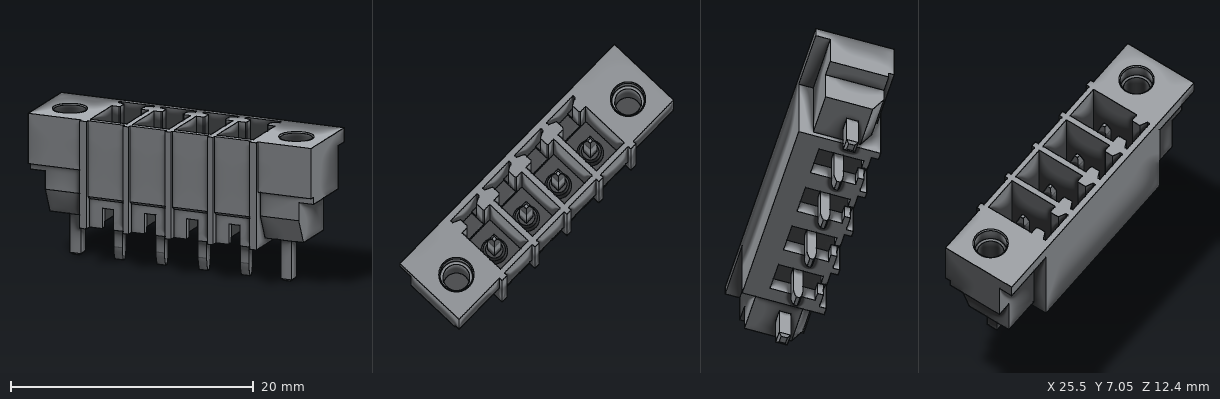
import cadquery as cq


poles = 4
pitch = 3.8
total_length = 25.53
top_z = 9.22
back_y = 4.0
front_y = -2.75
lead_bottom_z = -3.2
pole_xs = [(pole - (poles - 1) / 2) * pitch for pole in range(poles)]
sides = (-1, 1)

block_length = 15.93
rib_width = 0.5
rib_depth = 0.3
rib_front_y = front_y - rib_depth
panel_width = pitch - rib_width
panel_step_top_z = 2.7
panel_step_height = 0.25
panel_step_depth = 0.3
skirt_front_y = front_y + panel_step_depth

flange_lip = 1.23
flange_back_setback = 1.25
flange_front_setback = 0.49
flange_back_y = back_y - flange_back_setback
flange_front_y = front_y + flange_front_setback
overhang_bottom_z = 4.3
front_step_z = 4.9
foot_end_setback = 1.33
foot_length = total_length - 2 * foot_end_setback
foot_bottom_z = 0.59
foot_chamfer_top_z = 2.73
foot_chamfer_depth = 0.97

chamber_back_y = 2.1
chamber_front_y = -2.3
chamber_floor_z = 2.7
keyway_neck_width = 1.86
keyway_head_width = 3.15
keyway_back_y = 3.47
keyway_neck_floor_z = 3.32
keyway_wing_floor_z = 3.83
keyway_head_front_y = 3.25
keyway_shoulder_y = 2.94
keyway_chamfer = 0.1

collar_base_radius = 1.1
collar_mid_radius = 0.92
collar_top_radius = 0.71
collar_mid_height = 0.5
collar_height = 0.66

cavity_width = 2.35
cavity_depth = 1.75
skirt_thickness = 0.5
cavity_front_y = skirt_front_y + skirt_thickness
slot_width = 1.0

pin_width = 0.8
pin_top_z = 7.91
pin_point_width = 0.3
pin_point_height = 0.8
pin_nose_length = 1.12
pin_nose_width = 0.3

screw_hole_x = 10.2
screw_hole_radius = 1.35
screw_hole_chamfer = 0.1
screw_hole_lower_radius = 1.1
screw_hole_step_z = top_z - flange_lip
screw_hole_floor_z = overhang_bottom_z

peg_x = (poles + 1) / 2 * pitch
peg_top_z = foot_chamfer_top_z
peg_width = 1.0
peg_chamfer_width = 0.23
peg_chamfer_height = 0.2


def box(x_size, y_range, z_range, x_center=0.0):
    """Box centred on x_center in X, between the given limits in Y and Z."""
    y_low, y_high = y_range
    z_low, z_high = z_range
    solid = cq.Workplane("XY").box(x_size, y_high - y_low, z_high - z_low, centered=(True, False, False))
    return solid.translate((x_center, y_low, z_low))


def x_prism(points, length, x_center=0.0):
    """Prism along X, centred on x_center, from a (Y, Z) outline."""
    prism = cq.Workplane("YZ").polyline(points).close().extrude(length / 2, both=True)
    return prism.translate((x_center, 0, 0))


def z_prism(points, z_low, z_high):
    """Prism along Z from an (X, Y) outline."""
    return cq.Workplane("XY").workplane(offset=z_low).polyline(points).close().extrude(z_high - z_low)


def make_flanges():
    """Full-length lip, flange bodies and narrower feet, all passing through the middle block."""
    overhang_outline = [
        (back_y, top_z),
        (back_y, top_z - flange_lip),
        (flange_back_y, top_z - flange_lip),
        (flange_back_y, overhang_bottom_z),
        (flange_front_y, overhang_bottom_z),
        (flange_front_y, front_step_z),
        (front_y, front_step_z),
        (front_y, top_z),
    ]
    foot_outline = [
        (flange_back_y, overhang_bottom_z),
        (flange_back_y, foot_bottom_z),
        (flange_front_y + foot_chamfer_depth, foot_bottom_z),
        (flange_front_y, foot_chamfer_top_z),
        (flange_front_y, overhang_bottom_z),
    ]
    return x_prism(overhang_outline, total_length).union(x_prism(foot_outline, foot_length))


def make_panel_recess(x):
    """Space between two ribs, deeper below the sloping step in the front wall."""
    outline = [
        (rib_front_y, top_z),
        (front_y, top_z),
        (front_y, panel_step_top_z),
        (skirt_front_y, panel_step_top_z - panel_step_height),
        (skirt_front_y, 0),
        (rib_front_y, 0),
    ]
    return x_prism(outline, panel_width, x)


def make_keyway(x):
    """T-shaped guide slot behind a chamber: a neck shallower than the chamber and still shallower wings."""
    neck = keyway_neck_width / 2
    head = keyway_head_width / 2
    neck_outline = [
        (-neck - keyway_chamfer, chamber_back_y),
        (-neck, chamber_back_y + keyway_chamfer),
        (-neck, keyway_back_y),
        (neck, keyway_back_y),
        (neck, chamber_back_y + keyway_chamfer),
        (neck + keyway_chamfer, chamber_back_y),
    ]
    wings_outline = [
        (-neck, keyway_shoulder_y),
        (-head, keyway_head_front_y),
        (-head, keyway_back_y),
        (head, keyway_back_y),
        (head, keyway_head_front_y),
        (neck, keyway_shoulder_y),
    ]
    neck_cut = z_prism(neck_outline, keyway_neck_floor_z, top_z)
    wings_cut = z_prism(wings_outline, keyway_wing_floor_z, top_z)
    return neck_cut.union(wings_cut).translate((x, 0, 0))


def make_collar(x):
    """Double cone standing on the chamber floor around the pin."""
    profile = [
        (0, 0),
        (collar_base_radius, 0),
        (collar_mid_radius, collar_mid_height),
        (collar_top_radius, collar_height),
        (0, collar_height),
    ]
    collar = cq.Workplane("XZ").polyline(profile).close().revolve(360, (0, 0, 0), (0, 1, 0))
    return collar.translate((x, 0, chamber_floor_z))


def make_pin(x):
    """Square pin with a pyramid point on top and a nose rounded front and back below."""
    half = pin_width / 2
    half_nose = pin_nose_width / 2
    nose_top_z = lead_bottom_z + pin_nose_length
    shank_top_z = pin_top_z - pin_point_height
    nose_step = half - half_nose
    nose_radius = (pin_nose_length**2 + nose_step**2) / (2 * nose_step)
    mid_drop = pin_nose_length / 2
    mid_step = nose_radius - (nose_radius**2 - mid_drop**2) ** 0.5
    mid_y = half - mid_step
    mid_z = nose_top_z - mid_drop
    shank = (
        cq.Workplane("YZ")
        .moveTo(-half, shank_top_z)
        .lineTo(-half, nose_top_z)
        .threePointArc((-mid_y, mid_z), (-half_nose, lead_bottom_z))
        .lineTo(half_nose, lead_bottom_z)
        .threePointArc((mid_y, mid_z), (half, nose_top_z))
        .lineTo(half, shank_top_z)
        .close()
        .extrude(half, both=True)
    )
    point = (
        cq.Workplane("XY")
        .workplane(offset=shank_top_z)
        .rect(pin_width, pin_width)
        .workplane(offset=pin_point_height)
        .rect(pin_point_width, pin_point_width)
        .loft()
    )
    return shank.union(point).translate((x, 0, 0))


def make_flange_peg(x):
    """Square solder peg seated in the flange foot, with a tapered tip."""
    peg_range = (-peg_width / 2, peg_width / 2)
    peg_shank_z = lead_bottom_z + peg_chamfer_height
    tip_width = peg_width - 2 * peg_chamfer_width
    peg = box(peg_width, peg_range, (peg_shank_z, peg_top_z))
    tip = (
        cq.Workplane("XY")
        .workplane(offset=lead_bottom_z)
        .rect(tip_width, tip_width)
        .workplane(offset=peg_chamfer_height)
        .rect(peg_width, peg_width)
        .loft()
    )
    return peg.union(tip).translate((x, 0, 0))


def make_screw_hole(x):
    """Stepped blind hole in the flange top, with a chamfered mouth."""
    profile = [
        (0, top_z),
        (screw_hole_radius + screw_hole_chamfer, top_z),
        (screw_hole_radius, top_z - screw_hole_chamfer),
        (screw_hole_radius, screw_hole_step_z),
        (screw_hole_lower_radius, screw_hole_step_z),
        (screw_hole_lower_radius, screw_hole_floor_z),
        (0, screw_hole_floor_z),
    ]
    hole = cq.Workplane("XZ").polyline(profile).close().revolve(360, (0, 0, 0), (0, 1, 0))
    return hole.translate((x, 0, 0))


def make_housing():
    housing = box(block_length, (rib_front_y, back_y), (0, top_z)).union(make_flanges())
    chamber_y = (chamber_front_y, chamber_back_y)
    cavity_y = (cavity_front_y, -cavity_front_y)
    slot_y = (skirt_front_y, cavity_front_y)
    pin_y = (-pin_width / 2, pin_width / 2)
    peg_y = (-peg_width / 2, peg_width / 2)
    for x in pole_xs:
        housing = housing.cut(make_panel_recess(x))
        housing = housing.cut(box(panel_width, chamber_y, (chamber_floor_z, top_z), x))
        housing = housing.cut(make_keyway(x))
        housing = housing.union(make_collar(x))
        housing = housing.cut(box(cavity_width, cavity_y, (0, cavity_depth), x))
        housing = housing.cut(box(slot_width, slot_y, (0, cavity_depth), x))
        housing = housing.cut(box(pin_width, pin_y, (0, top_z), x))
    for side in sides:
        housing = housing.cut(make_screw_hole(side * screw_hole_x))
        housing = housing.cut(box(peg_width, peg_y, (foot_bottom_z, peg_top_z), side * peg_x))
    return housing


housing = make_housing()
pins = [make_pin(x) for x in pole_xs]
flange_pegs = [make_flange_peg(side * peg_x) for side in sides]

result = cq.Compound.makeCompound(
    [
        housing.val(),
        *[pin.val() for pin in pins],
        *[peg.val() for peg in flange_pegs],
    ]
)